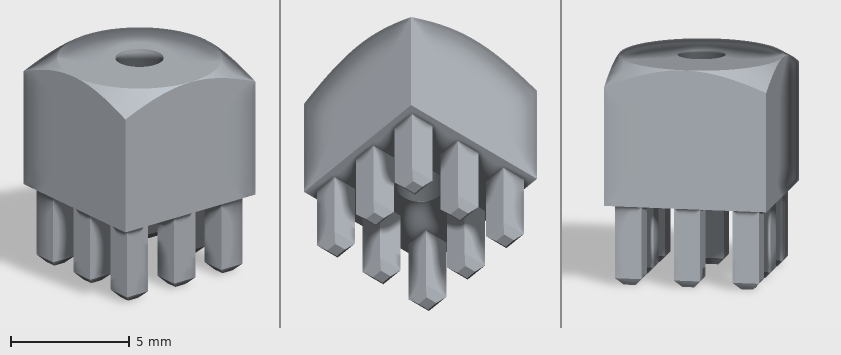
import cadquery as cq
import math

total_height = 9.5
body_width = 7.0
pin_length = 3.51
body_height = total_height - pin_length

cone_angle = 30.0
flat_radius = body_width / 2 - 0.01

hole_diameter = 2.04

pin_width = 1.14
pin_pitch = 2.54
tip_inset = 0.3
tip_height = 0.32


def make_body():
    """Square block with its top corners trimmed by a cone, drilled through."""
    block = cq.Workplane("XY").box(
        body_width, body_width, body_height, centered=(True, True, False)
    )
    outer_radius = body_width
    cone_drop = (outer_radius - flat_radius) * math.tan(math.radians(cone_angle))
    trimmer = (
        cq.Workplane("XZ")
        .moveTo(0, 0)
        .lineTo(outer_radius, 0)
        .lineTo(outer_radius, body_height - cone_drop)
        .lineTo(flat_radius, body_height)
        .lineTo(0, body_height)
        .close()
        .revolve(360, (0, 0, 0), (0, 1, 0))
    )
    return block.intersect(trimmer).faces(">Z").workplane().hole(hole_diameter)


def make_pin(x, y):
    """Square pin hanging below the body, with a tapered tip."""
    pin = cq.Workplane("XY").box(
        pin_width, pin_width, pin_length, centered=(True, True, False)
    )
    pin = pin.faces("<Z").chamfer(tip_height, tip_inset)
    return pin.translate((x, y, -pin_length))


result = make_body()
for column in (-1, 0, 1):
    for row in (-1, 0, 1):
        is_under_hole = column == 0 and row == 0
        if not is_under_hole:
            result = result.union(make_pin(column * pin_pitch, row * pin_pitch))